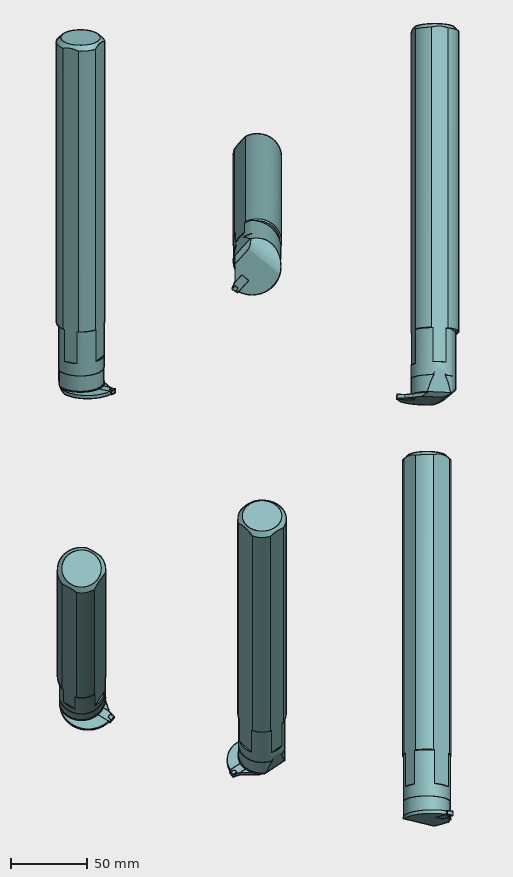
import cadquery as cq
import math


shank_radius = 16.0
overall_height = 250.0
side_flat_distance = 15.0
front_flat_distance = 14.35
shank_bottom = 45.0
top_chamfer = 3.0
bottom_chamfer = 1.0

head_top = shank_bottom + bottom_chamfer
neck_radius = 15.65
flat_bottom = 23.0
foot_radius = 15.45
foot_top = 14.2
foot_flare = 0.5

blade_radius = 19.02
blade_center_x = 5.2
blade_bottom = 0.3
blade_top = 2.7

heel_radius = 18.0
heel_start = (-14.2, 8.5)
heel_end = (-3.0, blade_bottom)

relief_top = 18.5
relief_top_y = neck_radius
relief_bottom_y = 13.3
relief_bottom = blade_top + 0.3
underside_y = 9.6

blade_end_inner = (6.0, 14.1)
blade_end_outer = (22.0, 0.5)

insert_back_x = 13.5
insert_front_x = 24.7
insert_back_y = 1.8
insert_front_y = -4.2
tip_x = 25.25
tip_y = 0.3
tip_root_x = 22.0
tip_root_y = -2.0
tip_front_y = -3.0
insert_corner_x = 20.5
tip_top = 3.0

cut_size = 60.0


def cylinder(radius, bottom, top, center_x=0.0):
    return cq.Workplane("XY", origin=(center_x, 0, bottom)).circle(radius).extrude(top - bottom)


def box_between(low, high):
    size = [b - a for a, b in zip(low, high)]
    return cq.Workplane("XY").box(*size, centered=False).translate(low)


def make_flats():
    """Material outside the three flats, on the +X, +Y and -Y sides."""
    flats = cq.Workplane("XY")
    for angle, distance in [(0, front_flat_distance), (90, side_flat_distance), (-90, side_flat_distance)]:
        outside = box_between(
            (distance, -cut_size / 2, flat_bottom),
            (cut_size, cut_size / 2, overall_height),
        )
        flats.add(outside.rotate((0, 0, 0), (0, 0, 1), angle))
    return flats.combine()


def make_shank():
    shank = cylinder(shank_radius, shank_bottom, overall_height)
    return shank.faces(">Z").chamfer(top_chamfer).faces("<Z").chamfer(bottom_chamfer)


def make_blade():
    """Disc-shaped blade, cut off by a slanted end on the +X +Y side."""
    blade = cylinder(blade_radius, blade_bottom, blade_top, blade_center_x)
    behind_end = (
        cq.Workplane("XY")
        .polyline([blade_end_inner, blade_end_outer, (cut_size, blade_end_outer[1]),
                   (cut_size, cut_size), (blade_end_inner[0], cut_size)])
        .close()
        .extrude(cut_size)
    )
    return blade.cut(behind_end)


def make_head():
    """Neck and foot on the bar axis, trimmed at the back by the blade arc."""
    neck = cylinder(neck_radius, foot_top, head_top)
    foot = cylinder(foot_radius, blade_top, foot_top)
    flare = (
        cq.Workplane("XY", origin=(0, 0, blade_top))
        .circle(foot_radius + foot_flare)
        .workplane(offset=foot_flare)
        .circle(foot_radius)
        .loft()
    )
    arc_column = cylinder(blade_radius, blade_bottom, head_top, blade_center_x)
    return neck.union(foot).union(flare).intersect(arc_column)


def make_heel_cut():
    """Material below the rounded heel, swept along Y."""
    chord_x = heel_end[0] - heel_start[0]
    chord_z = heel_end[1] - heel_start[1]
    chord = math.hypot(chord_x, chord_z)
    sagitta = heel_radius - math.sqrt(heel_radius**2 - chord**2 / 4)
    arc_middle = (
        (heel_start[0] + heel_end[0]) / 2 + sagitta * chord_z / chord,
        (heel_start[1] + heel_end[1]) / 2 - sagitta * chord_x / chord,
    )
    return (
        cq.Workplane("XZ")
        .moveTo(*heel_start)
        .threePointArc(arc_middle, heel_end)
        .lineTo(heel_end[0], -cut_size)
        .lineTo(-cut_size, -cut_size)
        .lineTo(-cut_size, heel_start[1])
        .close()
        .extrude(cut_size / 2, both=True)
    )


def make_relief_cut():
    """Material outside the sloped relief on the +Y side."""
    return (
        cq.Workplane("YZ")
        .polyline([(underside_y, 0), (relief_bottom_y, relief_bottom), (relief_top_y, relief_top),
                   (cut_size, relief_top), (cut_size, 0)])
        .close()
        .extrude(cut_size / 2, both=True)
    )


def make_insert():
    """Insert lying in the end of the blade, with a taller cutting tip."""
    body = (
        cq.Workplane("XY", origin=(0, 0, blade_bottom))
        .polyline([(insert_back_x, insert_front_y), (insert_front_x, insert_front_y), (tip_x, tip_y),
                   (insert_corner_x, insert_back_y), (insert_back_x, insert_back_y)])
        .close()
        .extrude(blade_top - blade_bottom)
    )
    tip = (
        cq.Workplane("XY")
        .polyline([(tip_root_x, tip_root_y), (insert_front_x, tip_front_y), (tip_x, tip_y),
                   (tip_root_x, tip_y)])
        .close()
        .extrude(tip_top)
    )
    return body.union(tip)


insert = make_insert()

bar = make_shank().union(make_head()).cut(make_flats())
bar = bar.union(make_blade())
bar = bar.cut(make_heel_cut()).cut(make_relief_cut()).cut(insert)

result = cq.Compound.makeCompound([bar.val(), insert.val()])